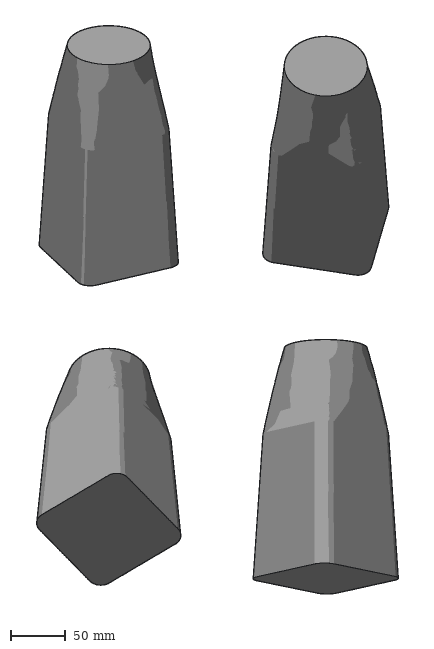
import cadquery as cq
import math

BASE_WIDTH = 101.6
SHOULDER_WIDTH = 88.9
TOP_DIAMETER = 76.2
CORNER_RADIUS = 12.7
SHOULDER_HEIGHT = 135.46
TOTAL_HEIGHT = 215.87

SEAM_HEIGHT = SHOULDER_HEIGHT / 2


def square_wire(width, height):
    """Sharp-cornered square, centred on the axis, at the given height."""
    return cq.Workplane("XY", origin=(0, 0, height)).rect(width, width).wires().val()


def quartered_circle_wire(diameter, height):
    """Circle split on its diagonals so that each quarter faces one side of a square."""
    radius = diameter / 2
    diagonal = radius * math.cos(math.pi / 4)
    return (
        cq.Workplane("XY", origin=(0, 0, height))
        .moveTo(-diagonal, -diagonal)
        .threePointArc((0, -radius), (diagonal, -diagonal))
        .threePointArc((radius, 0), (diagonal, diagonal))
        .threePointArc((0, radius), (-diagonal, diagonal))
        .threePointArc((-radius, 0), (-diagonal, -diagonal))
        .close()
        .wires()
        .val()
    )


def sharp_body():
    """Straight square taper up to the shoulder, then a square-to-round transition."""
    sections = [
        square_wire(BASE_WIDTH, 0),
        square_wire(SHOULDER_WIDTH, SHOULDER_HEIGHT),
        quartered_circle_wire(TOP_DIAMETER, TOTAL_HEIGHT),
    ]
    return cq.Workplane(cq.Solid.makeLoft(sections, True))


def round_corners(body):
    """Fillet the edges that run up the four corners; the fillets fade out at the round top."""
    return body.edges("not(#Z or >Z)").fillet(CORNER_RADIUS)


def divide_at_seam(body):
    """Divide the side faces at the seam while keeping the body one solid."""
    seam_plane = cq.Face.makePlane(basePnt=(0, 0, SEAM_HEIGHT), dir=(0, 0, 1))
    lower, upper = body.split(seam_plane).solids().vals()
    return cq.Workplane(lower).union(cq.Workplane(upper), clean=False)


result = divide_at_seam(round_corners(sharp_body()))